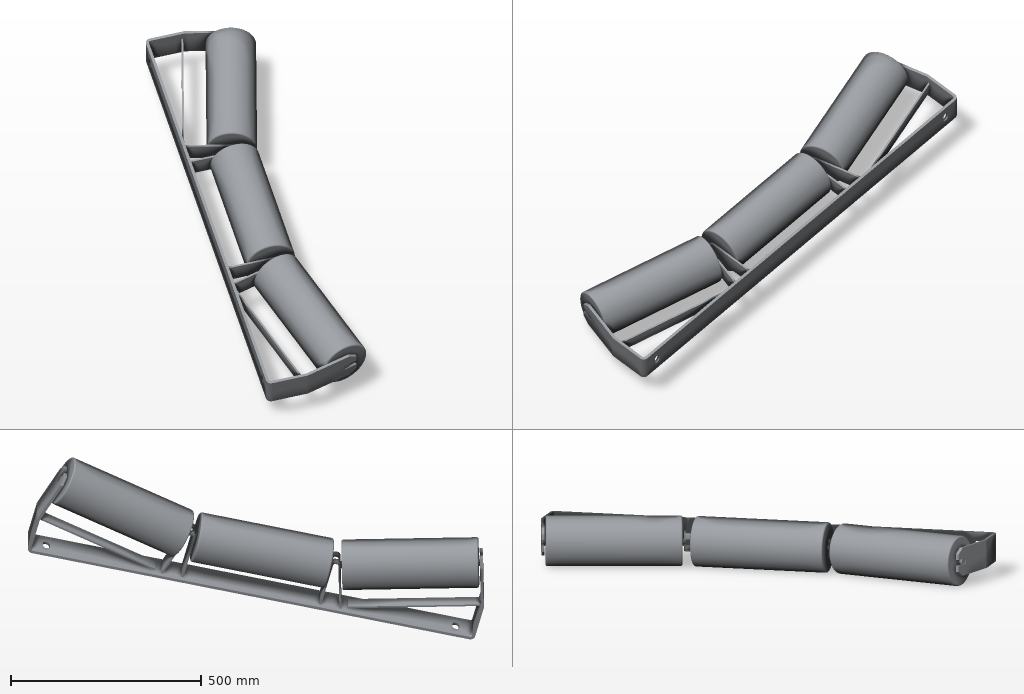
import cadquery as cq
import math

frame_length = 1210.0
frame_height = 75.0
frame_thickness = 8.0
frame_bend_radius = 13.0
arm_bend_y = 110.0
arm_tip_y = 254.0
arm_chamfer_run = 22.0
arm_chamfer_rise = 15.0
bolt_hole_width = 18.0
bolt_hole_height = 28.0
bolt_hole_end_distance = 51.0

tilt = 15.0
roller_diameter = 133.0
roller_length = 359.0
roller_edge_radius = 4.2
shaft_diameter = 19.0
shaft_length = 379.0
shaft_flat_width = 13.0
slot_width = 16.0
middle_roller_y = 127.0
wing_roller_x = 390.0
wing_roller_y = 177.0

bracket_thickness = 5.5
bracket_height = 48.0
bracket_leg_x = 184.0
bracket_foot_x = 245.0
bracket_top_y = 151.0
bracket_bend_radius = 10.0

brace_thickness = 5.0
brace_height = 34.0
brace_wall_y = 103.0

half_length = frame_length / 2
arm_inner_x = half_length - frame_thickness
tilt_sin = math.sin(math.radians(tilt))
tilt_cos = math.cos(math.radians(tilt))
tilt_tan = math.tan(math.radians(tilt))


def mirrored(body):
    """Copy of a body on the other side of the X = 0 plane."""
    return body.mirror("YZ")


def at_wing(body):
    """Move a body built around the X axis to the axis of the wing roller at +X."""
    return body.rotate((0, 0, 0), (0, 0, 1), tilt).translate((wing_roller_x, wing_roller_y, 0))


def at_middle(body):
    """Move a body built around the X axis to the axis of the middle roller."""
    return body.translate((0, middle_roller_y, 0))


def plate(points, height):
    """Outline in X and Y, extruded evenly to both sides of Z = 0."""
    return cq.Workplane("XY").polyline(points).close().extrude(height / 2, both=True)


def round_bend(body, corner, radius):
    """Round the upright edge that passes nearest to the corner point."""
    return body.edges("|Z").edges(cq.selectors.NearestToPointSelector((*corner, 0))).fillet(radius)


def rod(diameter, length):
    """Cylinder along X, centred on the origin."""
    return cq.Workplane("YZ", origin=(-length / 2, 0, 0)).circle(diameter / 2).extrude(length)


def flatted_rod(diameter, width, length):
    """Cylinder along X with two flats, the given width apart, that face up and down."""
    return rod(diameter, length).intersect(cq.Workplane("XY").box(length, diameter, width))


def make_roller():
    shell = rod(roller_diameter, roller_length).faces("|X").edges().fillet(roller_edge_radius)
    return shell.union(flatted_rod(shaft_diameter, shaft_flat_width, shaft_length))


def make_slot():
    """Cutter for the shaft slots: the shaft rests on its round bottom, and it is open towards +Y."""
    cut_length = shaft_length + 2 * frame_thickness
    opening = cq.Workplane("XY").box(cut_length, roller_diameter, slot_width, centered=(True, False, True))
    return opening.union(flatted_rod(shaft_diameter, slot_width, cut_length))


def make_frame():
    """The strip along its full length, with bolt holes in its back and a slot in each arm."""
    outer_corner = (half_length, 0)
    outer_bend = (half_length, arm_bend_y)
    outer_tip = (half_length - (arm_tip_y - arm_bend_y) * tilt_tan, arm_tip_y)
    inner_tip = (outer_tip[0] - frame_thickness * tilt_cos, outer_tip[1] - frame_thickness * tilt_sin)
    inner_bend = (arm_inner_x, arm_bend_y - frame_thickness * math.tan(math.radians(tilt / 2)))
    inner_corner = (arm_inner_x, frame_thickness)

    right_side = [outer_corner, outer_bend, outer_tip, inner_tip, inner_bend, inner_corner]
    left_side = [(-x, y) for x, y in reversed(right_side)]
    frame = plate(right_side + left_side, frame_height)

    inner_bend_radius = frame_bend_radius - frame_thickness
    for side in (1, -1):
        for x, y in (outer_corner, outer_bend):
            frame = round_bend(frame, (side * x, y), frame_bend_radius)
        for x, y in (inner_corner, inner_bend):
            frame = round_bend(frame, (side * x, y), inner_bend_radius)

    half_height = frame_height / 2
    arm_profile = [
        (0, half_height),
        (arm_tip_y - arm_chamfer_run, half_height),
        (arm_tip_y, half_height - arm_chamfer_rise),
        (arm_tip_y, arm_chamfer_rise - half_height),
        (arm_tip_y - arm_chamfer_run, -half_height),
        (0, -half_height),
    ]
    frame = frame.intersect(
        cq.Workplane("YZ").polyline(arm_profile).close().extrude(half_length, both=True)
    )

    wing_slot = at_wing(make_slot())
    frame = frame.cut(wing_slot).cut(mirrored(wing_slot))

    bolt_hole_x = half_length - bolt_hole_end_distance
    bolt_holes = (
        cq.Workplane("XZ")
        .pushPoints([(bolt_hole_x, 0), (-bolt_hole_x, 0)])
        .slot2D(bolt_hole_height, bolt_hole_width, 90)
        .extrude(-frame_thickness)
    )
    return frame.cut(bolt_holes)


def make_bracket():
    """Bent strip at +X: a straight leg for the middle roller and a leaning leg for the wing roller."""
    def leaning_x(y):
        return bracket_foot_x - (y - frame_thickness) * tilt_tan

    inner_leg_x = bracket_leg_x + bracket_thickness
    inner_top_y = bracket_top_y - bracket_thickness
    leaning_width = bracket_thickness / tilt_cos
    outer_bends = [(bracket_leg_x, bracket_top_y), (leaning_x(bracket_top_y), bracket_top_y)]
    inner_bends = [(leaning_x(inner_top_y) - leaning_width, inner_top_y), (inner_leg_x, inner_top_y)]
    leaning_foot = [(bracket_foot_x, frame_thickness), (bracket_foot_x - leaning_width, frame_thickness)]
    straight_foot = [(inner_leg_x, frame_thickness), (bracket_leg_x, frame_thickness)]

    bracket = plate(outer_bends + leaning_foot + inner_bends + straight_foot, bracket_height)
    for corner in outer_bends:
        bracket = round_bend(bracket, corner, bracket_bend_radius)
    for corner in inner_bends:
        bracket = round_bend(bracket, corner, bracket_bend_radius - bracket_thickness)
    return bracket.cut(at_wing(make_slot())).cut(at_middle(make_slot()))


def make_brace():
    """Flat bar at +X, parallel to the wing roller, from the arm down to the frame's back."""
    wall_lower_y = brace_wall_y - brace_thickness / tilt_cos
    foot_x = arm_inner_x - (wall_lower_y - frame_thickness) / tilt_tan
    outline = [
        (arm_inner_x, brace_wall_y),
        (arm_inner_x, wall_lower_y),
        (foot_x, frame_thickness),
        (foot_x - brace_thickness * tilt_sin, frame_thickness + brace_thickness * tilt_cos),
    ]
    return plate(outline, brace_height)


frame = make_frame()
middle_roller = at_middle(make_roller())

side_bodies = []
for body in (at_wing(make_roller()), make_bracket(), make_brace()):
    side_bodies += [body.solids().val(), mirrored(body).solids().val()]

result = cq.Compound.makeCompound([frame.solids().val(), middle_roller.solids().val(), *side_bodies])